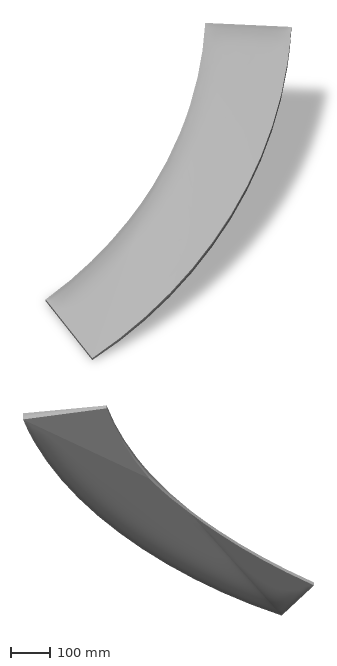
import cadquery as cq
import math

outer_radius = 1111.0
width = 220.0
sweep = 54.0
rise = 239.0
plate_thickness = 8.0
first_fold = 25.0
second_fold = 36.0
inner_drop = 9.0
outer_drop = 9.0
drop_power = 6
edge_steps = 12

inner_radius = outer_radius - width


def helix_height(angle):
    return plate_thickness + rise * angle / sweep


def rim_point(radius, angle, height):
    """Point on a rim; the outer start corner is at X = 0, Y = 0."""
    turn = math.radians(angle)
    return cq.Vector(radius * math.cos(turn) - outer_radius, radius * math.sin(turn), height)


def rim_edge(radius, start, end, height_at):
    """Spline along a rim whose height is a function of the plan angle."""
    angles = [start + (end - start) * i / edge_steps for i in range(edge_steps + 1)]
    return cq.Edge.makeSpline([rim_point(radius, a, height_at(a)) for a in angles])


def plane_height(a, b, c):
    """Height function, along the inner rim, of the plane through three points."""
    normal = (b - a).cross(c - a)

    def height_at(angle):
        flat = rim_point(inner_radius, angle, a.z) - a
        return a.z - (normal.x * flat.x + normal.y * flat.y) / normal.z

    return height_at


def slab(inner_edge, outer_edge, depth):
    """Solid of constant vertical depth below the surface ruled between two edges."""
    down = cq.Vector(0, 0, -depth)
    ends = [
        cq.Edge.makeLine(inner_edge.startPoint(), outer_edge.startPoint()),
        cq.Edge.makeLine(inner_edge.endPoint(), outer_edge.endPoint()),
    ]
    top = cq.Face.makeRuledSurface(inner_edge, outer_edge)
    walls = [cq.Face.makeRuledSurface(e, e.translate(down)) for e in [inner_edge, outer_edge, *ends]]
    shell = cq.Shell.makeShell([top, top.translate(down), *walls])
    return cq.Solid.makeSolid(shell).fix()


def flat_panel(arc, corner, depth):
    """Flat panel between an arc of the inner rim and one outer corner."""
    sides = [cq.Edge.makeLine(arc.endPoint(), corner), cq.Edge.makeLine(corner, arc.startPoint())]
    face = cq.Face.makeFromWires(cq.Wire.assembleEdges([arc, *sides]))
    return cq.Solid.extrudeLinear(face, cq.Vector(0, 0, -depth))


inner_start = rim_point(inner_radius, 0, helix_height(0))
inner_first = rim_point(inner_radius, first_fold, helix_height(first_fold))
inner_second = rim_point(inner_radius, second_fold, helix_height(second_fold) - inner_drop)
inner_end = rim_point(inner_radius, sweep, helix_height(sweep))
outer_start = rim_point(outer_radius, 0, helix_height(0))
outer_end = rim_point(outer_radius, sweep, helix_height(sweep) - outer_drop)


def plate_outer_height(angle):
    return helix_height(angle) - outer_drop * (1 - (1 - angle / sweep) ** drop_power)


def plate_inner_height(angle):
    return helix_height(angle) - inner_drop * (angle - first_fold) / (second_fold - first_fold)


lower_arc = rim_edge(
    inner_radius, 0, first_fold, plane_height(outer_start, inner_start, inner_first))
middle_inner = rim_edge(inner_radius, first_fold, second_fold, plate_inner_height)
upper_arc = rim_edge(
    inner_radius, second_fold, sweep, plane_height(outer_end, inner_second, inner_end))
middle_outer = rim_edge(outer_radius, 0, sweep, plate_outer_height)


def folded_plate():
    """Flat lower panel, twisted middle panel and flat upper panel as one solid."""
    middle = slab(middle_inner, middle_outer, plate_thickness)
    lower = flat_panel(lower_arc, outer_start, plate_thickness)
    upper = flat_panel(upper_arc, outer_end, plate_thickness)
    return cq.Workplane(middle).union(cq.Workplane(lower)).union(cq.Workplane(upper))


def helical_cover():
    """Cover that fills the space between the plate and a twisted helical top."""
    top_inner = rim_edge(inner_radius, first_fold, sweep, helix_height)
    top_outer = rim_edge(outer_radius, 0, sweep, helix_height)
    outer_end_edge = cq.Edge.makeLine(outer_end, top_outer.endPoint())
    top_end_edge = cq.Edge.makeLine(top_outer.endPoint(), inner_end)
    plate_end_edge = cq.Edge.makeLine(inner_end, outer_end)
    second_fold_edge = cq.Edge.makeLine(outer_end, inner_second)

    top = cq.Face.makeRuledSurface(top_inner, top_outer)
    twisted_base = cq.Face.makeRuledSurface(middle_inner, middle_outer)
    flat_base = cq.Face.makeFromWires(
        cq.Wire.assembleEdges([upper_arc, plate_end_edge, second_fold_edge]))
    end_wall = cq.Face.makeFromWires(
        cq.Wire.assembleEdges([outer_end_edge, top_end_edge, plate_end_edge]))
    inner_wall = cq.Face.makeNSidedSurface([top_inner, middle_inner, upper_arc], [])
    outer_wall = cq.Face.makeRuledSurface(middle_outer, top_outer)
    shell = cq.Shell.makeShell([top, twisted_base, flat_base, end_wall, inner_wall, outer_wall])
    return cq.Workplane(cq.Solid.makeSolid(shell).fix())


plate = folded_plate()
cover = helical_cover()
result = cq.Compound.makeCompound([plate.val(), cover.val()])